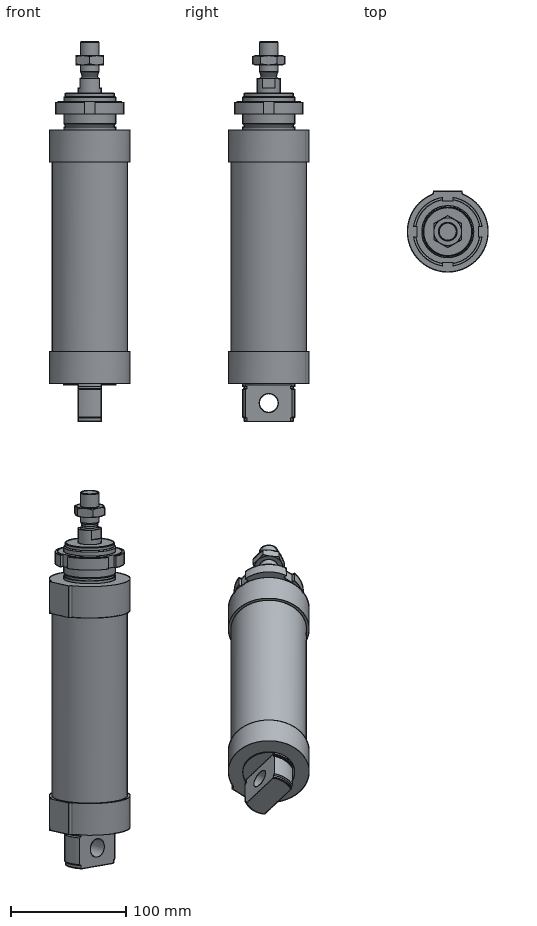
import cadquery as cq
import math

total_height = 329.2
collar_tip_z = 284.8
cover_height = 28.0
front_cover_top_z = 252.8
rear_cover_bottom_z = 33.0

cover_diameter = 70.0
tube_diameter = 65.5
pad_width = 25.0
pad_fillet = 1.5

thread_diameter = 45.0
groove_diameter = 42.8
tip_diameter = 42.8
tip_chamfer = 0.5
tip_length = 3.0
tip_cone_length = 1.0
groove_root_offset = 2.3
groove_length = 3.0
groove_taper = (thread_diameter - groove_diameter) / 2
tang_thickness = 20.0
tang_hole_diameter = 16.0
tang_hole_z = 16.0
rear_flange_length = 1.0

rod_diameter = 20.0
rod_flats = 17.0
rod_flat_length = 8.2
rod_shoulder_z = 297.3
stud_diameter = 16.0
stud_bottom_z = 303.2
stud_end_diameter = 14.8
stud_chamfer_length = 0.5
relief_diameter = 14.5
relief_taper_length = 1.3
relief_bottom_z = 300.2
neck_diameter = 13.8

hexagon_sides = 6
rod_nut_flats = 24.0
rod_nut_height = 8.0
rod_nut_bottom_z = 309.0
rod_nut_chamfer = 0.82

ring_nut_diameter = 60.0
ring_nut_height = 11.0
ring_nut_bottom_z = 266.3
ring_nut_face_diameter = 56.0
ring_nut_face_height = 0.5
slot_count = 4
slot_width = 9.0
slot_depth = 3.3


def cylinder(diameter, bottom_z, height):
    return cq.Workplane("XY").workplane(offset=bottom_z).circle(diameter / 2).extrude(height)


def revolved(profile):
    """Turn a list of (radius, z) points around the Z axis."""
    return cq.Workplane("XZ").polyline(profile).close().revolve(360, (0, 0, 0), (0, 1, 0))


def turned_collar(tip_z, root_z):
    """Threaded stub with a stepped tip and a relief groove, from its tip to its root."""
    inward = math.copysign(1, root_z - tip_z)
    thread_start = tip_length + tip_cone_length
    groove_end_z = root_z - inward * groove_root_offset
    groove_start_z = groove_end_z - inward * groove_length
    radius = thread_diameter / 2
    groove_radius = groove_diameter / 2
    return revolved([
        (0, tip_z),
        (tip_diameter / 2 - tip_chamfer, tip_z),
        (tip_diameter / 2, tip_z + inward * tip_chamfer),
        (tip_diameter / 2, tip_z + inward * tip_length),
        (radius, tip_z + inward * thread_start),
        (radius, groove_start_z),
        (groove_radius, groove_start_z + inward * groove_taper),
        (groove_radius, groove_end_z),
        (radius, groove_end_z),
        (radius, root_z),
        (0, root_z),
    ])


def end_cover(bottom_z):
    """Round cover with a flat-topped pad on its +Y side."""
    cover_radius = cover_diameter / 2
    pad = (
        cq.Workplane("XY")
        .workplane(offset=bottom_z)
        .center(0, cover_radius / 2)
        .rect(pad_width, cover_radius)
        .extrude(cover_height)
    )
    cover = cylinder(cover_diameter, bottom_z, cover_height).union(pad)
    corner_y = math.sqrt(cover_radius**2 - (pad_width / 2) ** 2)
    for side in (-1, 1):
        corner = (side * pad_width / 2, corner_y, bottom_z + cover_height / 2)
        cover = cover.edges(cq.selectors.NearestToPointSelector(corner)).fillet(pad_fillet)
    return cover


def make_tang():
    """Rear stub cut to a flat tang with a cross hole, below a thin round flange."""
    tang_length = rear_cover_bottom_z - rear_flange_length
    slab = cq.Workplane("XY").box(
        tang_thickness, thread_diameter, tang_length, centered=(True, True, False)
    )
    hole = (
        cq.Workplane("YZ")
        .center(0, tang_hole_z)
        .circle(tang_hole_diameter / 2)
        .extrude(tang_thickness, both=True)
    )
    flange = cylinder(thread_diameter, tang_length, rear_flange_length)
    return turned_collar(0, rear_cover_bottom_z).intersect(slab).cut(hole).union(flange)


def make_housing():
    front_cover_bottom_z = front_cover_top_z - cover_height
    tube = cylinder(tube_diameter, rear_cover_bottom_z, front_cover_top_z - rear_cover_bottom_z)
    rod_bore = cylinder(rod_diameter, front_cover_bottom_z, collar_tip_z - front_cover_bottom_z)
    return (
        tube.union(end_cover(rear_cover_bottom_z))
        .union(end_cover(front_cover_bottom_z))
        .union(turned_collar(collar_tip_z, front_cover_top_z))
        .union(make_tang())
        .cut(rod_bore)
    )


def make_rod():
    """Rod seated in the front cover, with wrench flats, a necked relief and a threaded stud."""
    rod_bottom_z = front_cover_top_z - cover_height
    stud_radius = stud_diameter / 2
    relief_radius = relief_diameter / 2
    neck_radius = neck_diameter / 2
    rod = revolved([
        (0, rod_bottom_z),
        (rod_diameter / 2, rod_bottom_z),
        (rod_diameter / 2, rod_shoulder_z),
        (stud_radius, rod_shoulder_z),
        (neck_radius, rod_shoulder_z + stud_radius - neck_radius),
        (neck_radius, relief_bottom_z),
        (relief_radius, relief_bottom_z),
        (relief_radius, stud_bottom_z - relief_taper_length),
        (stud_radius, stud_bottom_z),
        (stud_radius, total_height - stud_chamfer_length),
        (stud_end_diameter / 2, total_height),
        (0, total_height),
    ])
    flats_bottom_z = rod_shoulder_z - rod_flat_length
    for side in (-1, 1):
        waste = (
            cq.Workplane("XY")
            .workplane(offset=flats_bottom_z)
            .center(side * (rod_flats + rod_diameter) / 2, 0)
            .rect(rod_diameter, rod_diameter)
            .extrude(rod_flat_length)
        )
        rod = rod.cut(waste)
    return rod


def make_rod_nut():
    """Hexagonal nut with two flats square to X and its corners chamfered at both ends."""
    corner_diameter = rod_nut_flats / math.cos(math.pi / hexagon_sides)
    top_z = rod_nut_bottom_z + rod_nut_height
    hexagon = (
        cq.Workplane("XY")
        .workplane(offset=rod_nut_bottom_z)
        .transformed(rotate=(0, 0, 180 / hexagon_sides))
        .polygon(hexagon_sides, corner_diameter)
        .extrude(rod_nut_height)
    )
    envelope = revolved([
        (0, rod_nut_bottom_z),
        (rod_nut_flats / 2, rod_nut_bottom_z),
        (corner_diameter / 2, rod_nut_bottom_z + rod_nut_chamfer),
        (corner_diameter / 2, top_z - rod_nut_chamfer),
        (rod_nut_flats / 2, top_z),
        (0, top_z),
    ])
    return hexagon.intersect(envelope).cut(cylinder(stud_diameter, rod_nut_bottom_z, rod_nut_height))


def make_ring_nut():
    """Round nut on the collar thread, with a raised top face and wrench slots around its rim."""
    radius = ring_nut_diameter / 2
    top_z = ring_nut_bottom_z + ring_nut_height
    nut = revolved([
        (thread_diameter / 2, ring_nut_bottom_z),
        (radius, ring_nut_bottom_z),
        (radius, top_z - ring_nut_face_height),
        (ring_nut_face_diameter / 2, top_z - ring_nut_face_height),
        (ring_nut_face_diameter / 2, top_z),
        (thread_diameter / 2, top_z),
    ])
    slot = (
        cq.Workplane("XY")
        .workplane(offset=ring_nut_bottom_z)
        .center(radius, 0)
        .rect(2 * slot_depth, slot_width)
        .extrude(ring_nut_height)
    )
    for index in range(slot_count):
        nut = nut.cut(slot.rotate((0, 0, 0), (0, 0, 1), index * 360 / slot_count))
    return nut


housing = make_housing()
rod = make_rod()
rod_nut = make_rod_nut()
ring_nut = make_ring_nut()

result = cq.Compound.makeCompound([housing.val(), rod.val(), rod_nut.val(), ring_nut.val()])